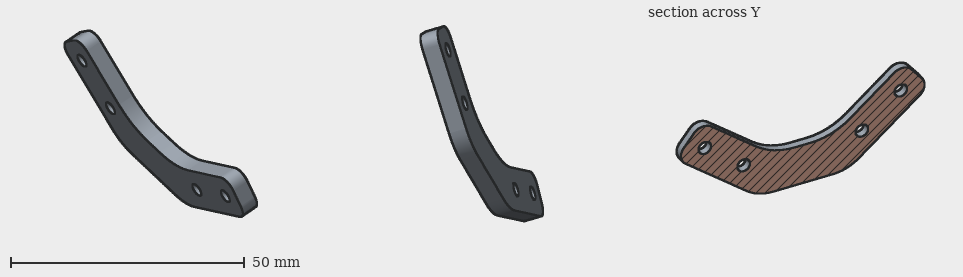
import cadquery as cq
import math

overall_length = 58.8
strip_width = 10.0
thickness = 4.0
arm_angle = math.radians(38.6)
bend_x = 9.0
inner_bend_radius = 15.0
outer_bend_radius = 10.0
end_corner_radius = 3.0
hole_diameter = 2.95
first_hole_distance = 6.7
hole_spacing = 12.0
hole_distances = (first_hole_distance, first_hole_distance + hole_spacing)

half_width = strip_width / 2
bend_offset = half_width * math.tan(arm_angle / 2)
inner_bend_x = bend_x - bend_offset
outer_bend_x = bend_x + bend_offset

corner_centre_x = overall_length / 2 - end_corner_radius
corner_centre_offset = half_width - end_corner_radius
arm_run = corner_centre_x - bend_x - corner_centre_offset * math.sin(arm_angle)
arm_length = arm_run / math.cos(arm_angle) + end_corner_radius


def arm_point(distance, offset=0.0):
    """Point on the right arm: distance from the bend, offset towards the inner edge."""
    x = bend_x + distance * math.cos(arm_angle) - offset * math.sin(arm_angle)
    z = half_width + distance * math.sin(arm_angle) + offset * math.cos(arm_angle)
    return x, z


def mirrored(point):
    return -point[0], point[1]


right_side = [
    (outer_bend_x, 0),
    arm_point(arm_length, -half_width),
    arm_point(arm_length, half_width),
    (inner_bend_x, strip_width),
]
left_side = [mirrored(point) for point in reversed(right_side)]
plate = (
    cq.Workplane("XZ")
    .polyline(right_side + left_side)
    .close()
    .extrude(thickness / 2, both=True)
)


def round_corners(body, corner, radius):
    """Round the edge through a profile corner and its mirror image."""
    for x, z in (corner, mirrored(corner)):
        edge = cq.selectors.NearestToPointSelector((x, 0, z))
        body = body.edges("|Y").edges(edge).fillet(radius)
    return body


outer_bend, lower_end, upper_end, inner_bend = right_side
plate = round_corners(plate, outer_bend, outer_bend_radius)
plate = round_corners(plate, inner_bend, inner_bend_radius)
plate = round_corners(plate, lower_end, end_corner_radius)
plate = round_corners(plate, upper_end, end_corner_radius)

right_holes = [arm_point(distance) for distance in hole_distances]
left_holes = [mirrored(point) for point in right_holes]
holes = (
    cq.Workplane("XZ")
    .pushPoints(right_holes + left_holes)
    .circle(hole_diameter / 2)
    .extrude(thickness, both=True)
)

result = plate.cut(holes)